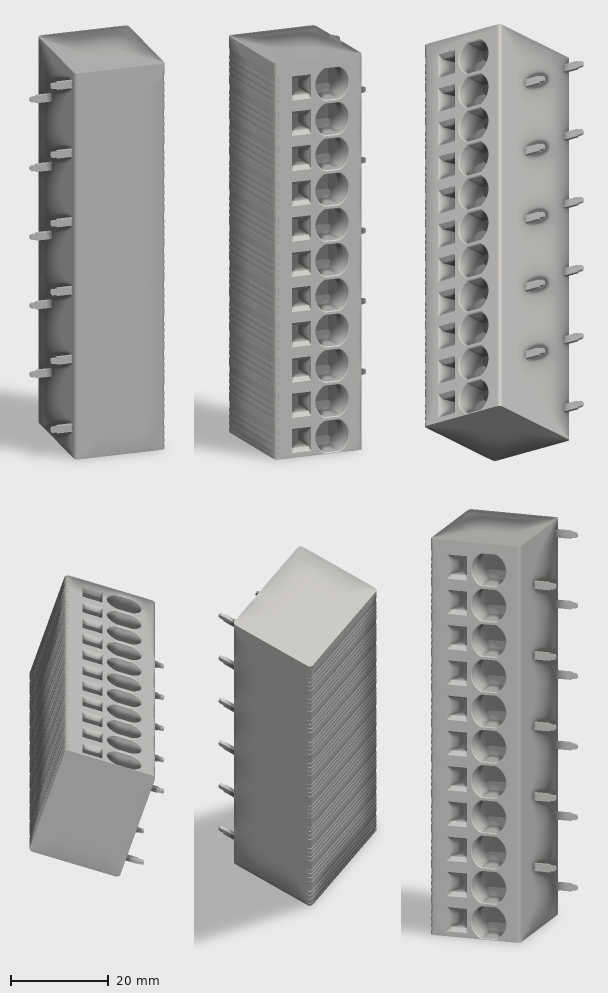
import cadquery as cq

width = 24.1
height = 84.3
depth = 19.55
corner_radius = 0.8

pole_count = 11
pitch = 7.5
first_entry_z = height - 5.65
first_pin_z = height - 2.9

entry_y = -12.7
entry_diameter = 7.3
entry_flat_height = 6.6
entry_lip = 0.21
entry_depth = 5.5
funnel_depth = 2.5
funnel_width = 5.3
funnel_height = 4.1

slot_front_y = -8.0
slot_back_y = -3.7
slot_height = 5.15
slot_bevel_depth = 1.1
slot_bevel_z = 0.8
slot_depth = 6.75
slot_ramp_depth = 3.8
slot_ramp_rise = 1.3

groove_depth = 0.1
wide_groove_height = 1.6
wide_groove_offset = 2.2
first_narrow_drop = 1.8
narrow_groove_count = 3
narrow_groove_pitch = 1.4
narrow_groove_height = 0.7

pin_rows_x = (22.2, 8.9)
pin_length = 4.6
pin_thickness = 0.8
pin_height = 1.6
pin_tip_length = 1.3
pin_tip_thickness = 0.6
pin_tip_height = 1.2
pin_tip_radius = 0.4


def face_plane(x, y, z):
    """Plane parallel to the -X face: local x is Y, local y is Z, normal points into the housing."""
    return cq.Workplane(cq.Plane(origin=(x, y, z), xDir=(0, 1, 0), normal=(1, 0, 0)))


def wire_entry(z):
    """Round entry flattened above and below, with a bevelled lip and a funnel to a rectangle."""
    mouth_diameter = entry_diameter + 2 * entry_lip
    total_depth = entry_depth + funnel_depth
    bore = face_plane(0, entry_y, z).circle(entry_diameter / 2).extrude(total_depth)
    lip = (
        face_plane(0, entry_y, z)
        .circle(mouth_diameter / 2)
        .workplane(offset=entry_lip)
        .circle(entry_diameter / 2)
        .loft()
    )
    lip_band = (
        face_plane(0, entry_y, z)
        .rect(mouth_diameter, entry_flat_height + 2 * entry_lip)
        .workplane(offset=entry_lip)
        .rect(mouth_diameter, entry_flat_height)
        .loft(ruled=True)
    )
    bore_band = (
        face_plane(entry_lip, entry_y, z)
        .rect(entry_diameter, entry_flat_height)
        .extrude(entry_depth - entry_lip)
    )
    funnel = (
        face_plane(entry_depth, entry_y, z)
        .rect(entry_diameter, entry_flat_height)
        .workplane(offset=funnel_depth)
        .rect(funnel_width, funnel_height)
        .loft(ruled=True)
    )
    return lip.intersect(lip_band).union(bore.intersect(bore_band)).union(bore.intersect(funnel))


def release_slot(z):
    """Slot bevelled above and below at its mouth, with a ramp as its +Y wall."""
    plan = [
        (0, slot_front_y),
        (slot_depth, slot_front_y),
        (slot_depth, slot_back_y - slot_ramp_rise),
        (slot_ramp_depth, slot_back_y - slot_ramp_rise),
        (0, slot_back_y),
    ]
    mouth = slot_height / 2
    throat = mouth - slot_bevel_z
    profile = [
        (0, z + mouth),
        (slot_bevel_depth, z + throat),
        (slot_depth, z + throat),
        (slot_depth, z - throat),
        (slot_bevel_depth, z - throat),
        (0, z - mouth),
    ]
    plan_prism = cq.Workplane("XY").polyline(plan).close().extrude(height)
    profile_prism = cq.Workplane("XZ").polyline(profile).close().extrude(depth)
    return plan_prism.intersect(profile_prism)


def rounded_block(inset):
    """Housing block, inset on its four upright sides."""
    return (
        cq.Workplane("XY")
        .box(width - 2 * inset, depth - 2 * inset, height)
        .edges("|Z")
        .fillet(corner_radius - inset)
        .translate((width / 2, -depth / 2, height / 2))
    )


def pole_grooves(z):
    """Shallow grooves of one pole across the +Y face, following its rounded corners."""
    narrow_zs = [z - first_narrow_drop - i * narrow_groove_pitch for i in range(narrow_groove_count)]
    bands = groove_band(z, wide_groove_height)
    for narrow_z in narrow_zs:
        bands = bands.add(groove_band(narrow_z, narrow_groove_height))
    return bands.combine().cut(rounded_block(groove_depth))


def groove_band(z, band_height):
    """Strip that covers the +Y face and its rounded corners."""
    return (
        cq.Workplane("XY")
        .box(width, corner_radius, band_height)
        .translate((width / 2, -corner_radius / 2, z))
    )


def solder_pin(x, z):
    """Flat pin with a thinner tip, rounded at the end."""
    shank_end = -depth - pin_length + pin_tip_length
    shank = (
        cq.Workplane("XY")
        .box(pin_thickness, pin_length - pin_tip_length, pin_height)
        .translate((x, (-depth + shank_end) / 2, z))
    )
    tip = (
        cq.Workplane("XY")
        .box(pin_tip_thickness, pin_tip_length, pin_tip_height)
        .edges("<Y and |X")
        .fillet(pin_tip_radius)
        .translate((x, shank_end - pin_tip_length / 2, z))
    )
    return shank.union(tip)


pole_cuts = [
    wire_entry(first_entry_z),
    release_slot(first_entry_z),
    pole_grooves(first_entry_z + wide_groove_offset),
]
cutters = []
pins = []
for pole in range(pole_count):
    step = (0, 0, -pole * pitch)
    cutters += [cut.translate(step).val() for cut in pole_cuts]
    pins.append(solder_pin(pin_rows_x[pole % 2], first_pin_z).translate(step).val())

housing = rounded_block(0).val().cut(*cutters)
result = cq.Workplane("XY").newObject(housing.fuse(*pins).Solids())